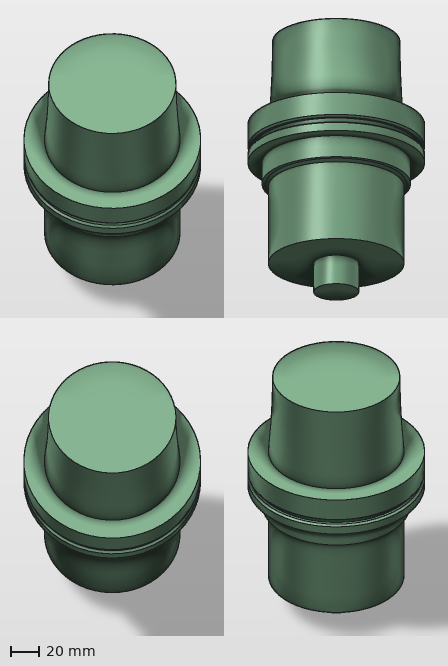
import cadquery as cq
import math

flange_diameter = 125.0
groove_diameter = 117.0
collar_diameter = 105.0
body_diameter = 96.0
head_top_diameter = 90.0
pin_diameter = 32.0

body_bottom = 21.7
collar_bottom = 82.0
flange_bottom = 98.0
groove_bottom = 105.3
groove_top = 109.0
flange_top = 127.0
total_height = 190.0

groove_bevel_width = 1.9
groove_bevel_height = 1.1
neck_cone_width = 1.7
neck_cone_height = 2.0

flange_radius = flange_diameter / 2
groove_radius = groove_diameter / 2
collar_radius = collar_diameter / 2
body_radius = body_diameter / 2
head_top_radius = head_top_diameter / 2
pin_radius = pin_diameter / 2
bevel_radius = flange_radius - groove_bevel_width

head_height = total_height - flange_top
head_flare = body_radius - head_top_radius
flare_arc_radius = (head_height**2 + head_flare**2) / (2 * head_flare)
flare_mid_angle = math.asin(head_height / flare_arc_radius) / 2
flare_mid = (
    head_top_radius + flare_arc_radius * (1 - math.cos(flare_mid_angle)),
    total_height - flare_arc_radius * math.sin(flare_mid_angle),
)

profile = (
    cq.Workplane("XZ")
    .moveTo(0, 0)
    .lineTo(pin_radius, 0)
    .lineTo(pin_radius, body_bottom)
    .lineTo(body_radius, body_bottom)
    .lineTo(body_radius, collar_bottom - neck_cone_height)
    .lineTo(body_radius + neck_cone_width, collar_bottom)
    .lineTo(collar_radius, collar_bottom)
    .lineTo(collar_radius, flange_bottom)
    .lineTo(flange_radius, flange_bottom)
    .lineTo(flange_radius, groove_bottom - groove_bevel_height)
    .lineTo(bevel_radius, groove_bottom)
    .lineTo(groove_radius, groove_bottom)
    .lineTo(groove_radius, groove_top)
    .lineTo(bevel_radius, groove_top)
    .lineTo(flange_radius, groove_top + groove_bevel_height)
    .lineTo(flange_radius, flange_top)
    .lineTo(body_radius, flange_top)
    .threePointArc(flare_mid, (head_top_radius, total_height))
    .lineTo(0, total_height)
    .close()
)

result = profile.revolve(360, (0, 0, 0), (0, 1, 0))